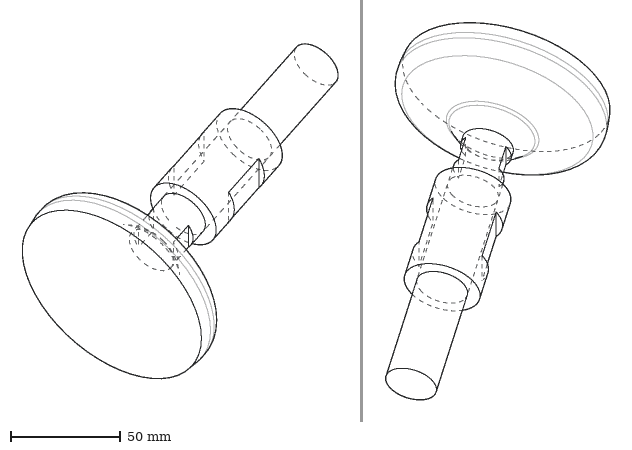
import cadquery as cq
import math

total_length = 170.0

pad_radius = 50.0
base_radius = 49.1
rim_bottom = 6.3
rim_top = 9.4
shoulder_radius = 7.1
cone_angle = math.radians(20)

ball_radius = 25.5
ball_center = 10.4
neck_blend_radius = 3.4

spindle_radius = 12.0
spindle_flat_width = 19.0
spindle_flat_start = 36.7
spindle_flat_length = 12.5

sleeve_radius = 18.0
sleeve_start = 59.5
sleeve_length = 55.0
sleeve_flat_width = 30.0
sleeve_flat_length = 25.0
sleeve_flat_start = sleeve_start + (sleeve_length - sleeve_flat_length) / 2


def cylinder(radius, start, length):
    """Solid cylinder on the Y axis, running from start toward +Y."""
    return cq.Workplane("XZ", origin=(0, start, 0)).circle(radius).extrude(-length)


def cut_flats(body, radius, width, start, length):
    """Cut two parallel flats, facing -X and +X, into a round body."""
    depth = radius - width / 2
    for side in (-1, 1):
        cutter = cq.Workplane("XY").box(2 * depth, length, 2 * radius)
        body = body.cut(cutter.translate((side * (width / 2 + depth), start + length / 2, 0)))
    return body


def make_pad_and_neck():
    """Revolved pad with a rounded shoulder, a shallow cone and a ball-shaped neck."""
    arc_center = pad_radius - shoulder_radius
    mid_angle = (math.pi / 2 - cone_angle) / 2
    end_angle = math.pi / 2 - cone_angle

    def shoulder_point(angle):
        return (
            arc_center + shoulder_radius * math.cos(angle),
            rim_top + shoulder_radius * math.sin(angle),
        )

    cone_radius, cone_height = shoulder_point(end_angle)
    normal_x = math.sin(cone_angle)
    normal_y = math.cos(cone_angle)
    cone_offset = cone_radius * normal_x + (cone_height - ball_center) * normal_y
    blend_distance = ball_radius + neck_blend_radius
    across = cone_offset + neck_blend_radius
    along = math.sqrt(blend_distance**2 - across**2)
    blend_x = across * normal_x + along * normal_y
    blend_y = ball_center + across * normal_y - along * normal_x
    cone_end = (blend_x - neck_blend_radius * normal_x, blend_y - neck_blend_radius * normal_y)

    ball_start_angle = math.atan2(blend_y - ball_center, blend_x)
    ball_end_angle = math.acos(spindle_radius / ball_radius)

    def ball_point(angle):
        return (ball_radius * math.cos(angle), ball_center + ball_radius * math.sin(angle))

    blend_mid_angle = math.pi + (ball_start_angle + end_angle) / 2
    blend_mid = (
        blend_x + neck_blend_radius * math.cos(blend_mid_angle),
        blend_y + neck_blend_radius * math.sin(blend_mid_angle),
    )
    neck_top = ball_point(ball_end_angle)

    return (
        cq.Workplane("XY")
        .lineTo(base_radius, 0)
        .lineTo(pad_radius, rim_bottom)
        .lineTo(pad_radius, rim_top)
        .threePointArc(shoulder_point(mid_angle), shoulder_point(end_angle))
        .lineTo(*cone_end)
        .threePointArc(blend_mid, ball_point(ball_start_angle))
        .threePointArc(ball_point((ball_start_angle + ball_end_angle) / 2), neck_top)
        .lineTo(0, neck_top[1])
        .close()
        .revolve(360, (0, 0, 0), (0, 1, 0))
    )


def make_foot():
    """Pad, neck and spindle in one piece."""
    neck_top = ball_center + math.sqrt(ball_radius**2 - spindle_radius**2)
    spindle = cylinder(spindle_radius, neck_top, total_length - neck_top)
    spindle = cut_flats(
        spindle, spindle_radius, spindle_flat_width, spindle_flat_start, spindle_flat_length
    )
    return make_pad_and_neck().union(spindle)


def make_sleeve():
    """Round sleeve with a through bore that fits the spindle."""
    sleeve = cylinder(sleeve_radius, sleeve_start, sleeve_length)
    sleeve = sleeve.cut(cylinder(spindle_radius, sleeve_start, sleeve_length))
    return cut_flats(
        sleeve, sleeve_radius, sleeve_flat_width, sleeve_flat_start, sleeve_flat_length
    )


foot = make_foot()
sleeve = make_sleeve()
result = cq.Compound.makeCompound([*foot.solids().vals(), *sleeve.solids().vals()])